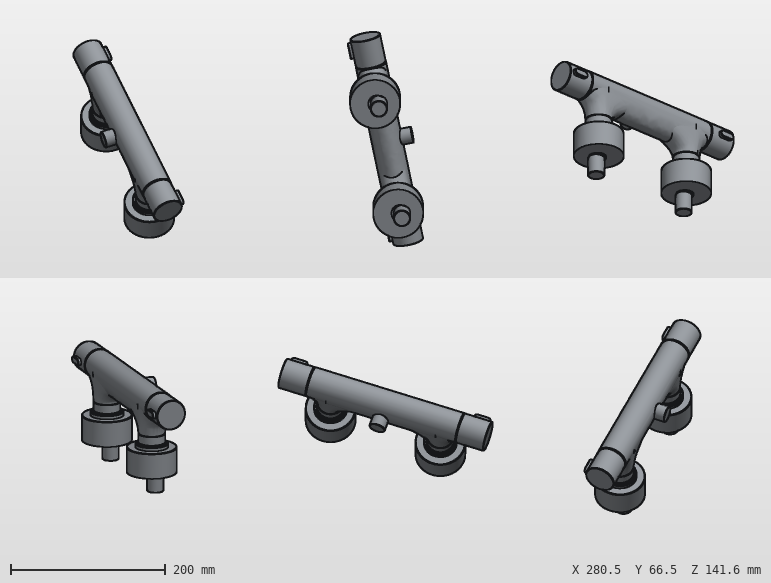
import cadquery as cq
import math


overall_length = 280.47
overall_height = 141.55
bar_radius = 20.0
body_half_length = 101.5
keel_top_z = -1.2
keel_bottom_z = -28.7

knob_radius = 19.8
groove_width = 1.7
groove_depth = 0.5
knob_edge_chamfer = 0.8

button_length = 21.5
button_height = 9.0
button_end_y = 24.0
button_edge_chamfer = 0.8
button_from_end = 15.2

outlet_radius = 10.6
outlet_end_y = -34.0
outlet_z = -3.1
outlet_chamfer = 0.7

leg_spacing = 150.0
neck_radius = 17.5
neck_top_z = -42.5
flare_top_z = -4.0
flare_section_count = 8
inner_spread = 13.0
inner_power = 2.2
outer_spread = 9.0
outer_power = 3
inner_trim = 40.0
arc_points = 12

neck_groove_height = 0.8
neck_groove_depth = 0.4

collar_radius = 18.3
collar_height = 1.3
flange_radius = 21.6
flange_top_z = -55.8
flange_chamfer = 1.0
shroud_radius = 32.5
shroud_top_z = -61.0
shroud_bottom_z = -95.0
shroud_chamfer = 0.9
spacer_radius = 11.2
spacer_height = 1.3
spacer_offset_y = -2.5
tail_radius = 10.75
tail_offset_y = -5.0
tail_bottom_z = bar_radius - overall_height
tail_chamfer = 0.8

leg_x = leg_spacing / 2
end_x = overall_length / 2


def disc(radius, z_bottom, z_top, y=0.0):
    """Vertical cylinder centred at X = 0."""
    return cq.Workplane("XY", origin=(0, y, z_bottom)).circle(radius).extrude(z_top - z_bottom)


def rod(radius, x_start, x_end):
    """Cylinder along the axis of the bar."""
    return cq.Workplane("YZ", origin=(x_start, 0, 0)).circle(radius).extrude(x_end - x_start)


def half_ellipse(half_width, reach):
    """Points of the half ellipse from (half_width, 0) over (0, -reach) to (-half_width, 0)."""
    angles = [math.pi * i / arc_points for i in range(arc_points + 1)]
    return [(half_width * math.cos(a), -reach * math.sin(a)) for a in angles]


def bar_half_width(z):
    """Half the width in Y of the round bar at height z."""
    return math.sqrt(bar_radius**2 - z**2)


def make_bar():
    tube = rod(bar_radius, -body_half_length, body_half_length)
    keel_half_width = bar_half_width(keel_top_z)
    keel_points = half_ellipse(keel_half_width, keel_top_z - keel_bottom_z)
    keel = (
        cq.Workplane("YZ", origin=(-leg_x, 0, keel_top_z))
        .moveTo(-keel_half_width, 0)
        .lineTo(keel_half_width, 0)
        .spline(keel_points[1:], tangents=[(0, -1), (0, 1)], includeCurrent=True)
        .close()
        .extrude(leg_spacing)
    )
    return tube.union(keel)


def flare_section(z):
    """Outline of the +X leg at height z: two half ellipses that share one width in Y."""
    rise = z - neck_top_z
    inner_ratio = rise / (keel_bottom_z - neck_top_z)
    outer_ratio = rise / (-bar_radius - neck_top_z)
    inner = neck_radius + inner_spread * inner_ratio**inner_power
    outer = neck_radius + outer_spread * outer_ratio**outer_power
    widening = bar_half_width(flare_top_z) - neck_radius
    half_width = neck_radius + widening * rise / (flare_top_z - neck_top_z)
    inner_points = [(x, y) for y, x in half_ellipse(half_width, inner)]
    outer_points = [(-x, -y) for y, x in half_ellipse(half_width, outer)]
    return (
        cq.Workplane("XY", origin=(0, 0, z))
        .moveTo(0, half_width)
        .spline(inner_points[1:], tangents=[(-1, 0), (1, 0)], includeCurrent=True)
        .spline(outer_points[1:], tangents=[(1, 0), (-1, 0)], includeCurrent=True)
        .wire()
        .val()
    )


def make_flare():
    step = (flare_top_z - neck_top_z) / (flare_section_count - 1)
    sections = [flare_section(neck_top_z + i * step) for i in range(flare_section_count)]
    trim_radius = shroud_radius - neck_top_z
    trim = rod(trim_radius, -inner_trim, body_half_length - leg_x)
    return cq.Workplane(cq.Solid.makeLoft(sections)).intersect(trim)


def make_leg():
    """The +X leg with its fittings, on an axis at X = 0."""
    groove_bottom = neck_top_z - neck_groove_height
    leg = make_flare()
    leg = leg.union(disc(neck_radius - neck_groove_depth, groove_bottom, neck_top_z))
    leg = leg.union(disc(neck_radius, flange_top_z, groove_bottom))
    leg = leg.union(disc(collar_radius, flange_top_z, flange_top_z + collar_height))
    flange = disc(flange_radius, shroud_top_z, flange_top_z)
    leg = leg.union(flange.faces(">Z").chamfer(flange_chamfer))
    shroud = disc(shroud_radius, shroud_bottom_z, shroud_top_z)
    leg = leg.union(shroud.faces(">Z").chamfer(shroud_chamfer))
    spacer_bottom = shroud_bottom_z - spacer_height
    leg = leg.union(disc(spacer_radius, spacer_bottom, shroud_bottom_z, spacer_offset_y))
    tail = disc(tail_radius, tail_bottom_z, spacer_bottom, tail_offset_y)
    return leg.union(tail.faces("<Z").chamfer(tail_chamfer))


def make_knob():
    """The +X knob with its button and the groove that parts it from the body."""
    knob_start = body_half_length + groove_width
    knob = rod(knob_radius, knob_start, end_x).faces(">X").chamfer(knob_edge_chamfer)
    core = rod(knob_radius - groove_depth, body_half_length, knob_start)
    button = (
        cq.Workplane("XZ", origin=(end_x - button_from_end, 0, 0))
        .slot2D(button_length, button_height)
        .extrude(-button_end_y)
        .faces(">Y")
        .chamfer(button_edge_chamfer)
    )
    return knob.union(core).union(button)


def make_outlet():
    return (
        cq.Workplane("XZ", origin=(0, 0, outlet_z))
        .circle(outlet_radius)
        .extrude(-outlet_end_y)
        .faces("<Y")
        .chamfer(outlet_chamfer)
    )


right_leg = make_leg().translate((leg_x, 0, 0))
right_knob = make_knob()

result = make_bar().union(make_outlet())
for fitting in (right_leg, right_knob):
    result = result.union(fitting).union(fitting.mirror("YZ"))